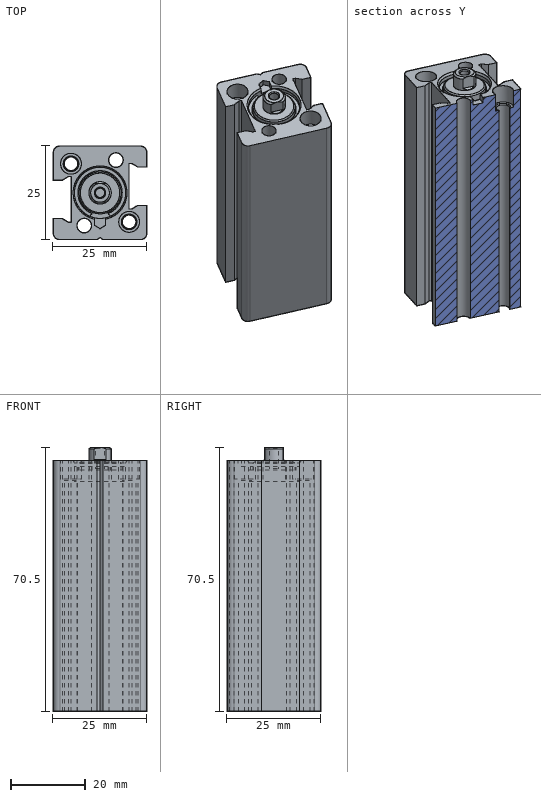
import cadquery as cq

total_height = 70.5
side = 25.0
half_side = side / 2
housing_top = 67.0
corner_radius = 1.75

channel_upper_y = 3.3
channel_lower_y = -6.85
channel_floor_x = 7.75
undercut_start_x = 10.1
undercut_end_x = 8.45
undercut_rise = 1.0

mark_groove_half_width = 0.8
mark_groove_depth = 0.55

mount_offset = 7.75
mount_diameter = 3.6
mount_chamfer_diameter = 4.15
mount_chamfer_depth = 0.3
counterbore_diameter = 5.6
counterbore_depth = 5.0
through_diameter = 3.8
through_x = 4.2
through_y = 8.75

seat_diameter = 13.7
seat_chamfer_width = 0.35
seat_chamfer_height = 0.6
cover_bottom = 61.3
land_top = 65.35
slot_width = 2.9
slot_shoulder_y = -8.7
slot_tip_y = -9.6

boss_top = 66.55
boss_diameter = 11.2
boss_chamfer = 0.35
land_inner_diameter = 11.85
groove_bottom = 64.4
notch_inner_half_width = 2.05
notch_inner_y = -5.5
notch_outer_half_width = 3.45
notch_outer_y = -6.9

rod_diameter = 6.0
rod_chamfer = 0.5
flat_distance = 2.5
flat_bottom = 67.2
rod_bore_diameter = 2.5
rod_bore_mouth_diameter = 3.0
rod_bore_mouth_depth = 0.3
rod_bore_depth = 5.65


def cylinder(diameter, bottom, top, x=0.0, y=0.0):
    """Vertical cylinder between two heights."""
    return cq.Workplane("XY", origin=(x, y, bottom)).circle(diameter / 2).extrude(top - bottom)


def mouth_cone(hole_diameter, mouth_diameter, top, depth, x=0.0, y=0.0):
    """Cone that widens a hole to its mouth diameter at the given height."""
    return (
        cq.Workplane("XY", origin=(x, y, top))
        .circle(mouth_diameter / 2)
        .workplane(offset=-depth)
        .circle(hole_diameter / 2)
        .loft()
    )


def side_channel():
    """Left channel with its undercut corners, along the full housing height."""
    outline = [
        (-half_side, channel_upper_y),
        (-undercut_start_x, channel_upper_y),
        (-undercut_end_x, channel_upper_y + undercut_rise),
        (-channel_floor_x, channel_upper_y + undercut_rise),
        (-channel_floor_x, channel_lower_y - undercut_rise),
        (-undercut_end_x, channel_lower_y - undercut_rise),
        (-undercut_start_x, channel_lower_y),
        (-half_side, channel_lower_y),
    ]
    return cq.Workplane("XY").polyline(outline).close().extrude(housing_top)


def mark_groove():
    """Small V groove along the middle of the -Y side."""
    outline = [
        (-mark_groove_half_width, -half_side),
        (0, -half_side + mark_groove_depth),
        (mark_groove_half_width, -half_side),
    ]
    return cq.Workplane("XY").polyline(outline).close().extrude(housing_top)


def mounting_hole(x, y):
    """Counterbored through hole with a chamfer at the counterbore floor."""
    counterbore_floor = housing_top - counterbore_depth
    hole = cylinder(mount_diameter, 0, housing_top, x, y)
    chamfer = mouth_cone(mount_diameter, mount_chamfer_diameter, counterbore_floor, mount_chamfer_depth, x, y)
    counterbore = cylinder(counterbore_diameter, counterbore_floor, housing_top, x, y)
    return hole.union(chamfer).union(counterbore)


def cover_seat():
    """Blind bore for the cover, chamfered at its mouth."""
    mouth_diameter = seat_diameter + 2 * seat_chamfer_width
    bore = cylinder(seat_diameter, cover_bottom, housing_top)
    return bore.union(mouth_cone(seat_diameter, mouth_diameter, housing_top, seat_chamfer_height))


def seat_slot():
    """Pointed slot that opens into the cover seat, as deep as the cover's land."""
    half_width = slot_width / 2
    outline = [
        (-half_width, 0),
        (-half_width, slot_shoulder_y),
        (0, slot_tip_y),
        (half_width, slot_shoulder_y),
        (half_width, 0),
    ]
    slot_depth = housing_top - land_top
    return cq.Workplane("XY", origin=(0, 0, land_top)).polyline(outline).close().extrude(slot_depth)


def make_housing():
    body = cq.Workplane("XY").rect(side, side).extrude(housing_top).edges("|Z").fillet(corner_radius)
    channel = side_channel()
    body = body.cut(channel).cut(channel.rotate((0, 0, 0), (0, 0, 1), 180))
    body = body.cut(mark_groove())
    for sign in (-1, 1):
        body = body.cut(mounting_hole(sign * mount_offset, -sign * mount_offset))
        body = body.cut(cylinder(through_diameter, 0, housing_top, sign * through_x, sign * through_y))
    return body.cut(cover_seat().union(seat_slot()))


def land_notch():
    """Gap in the land beside the slot, widening outward."""
    outline = [
        (-notch_inner_half_width, notch_inner_y),
        (-notch_outer_half_width, notch_outer_y),
        (notch_outer_half_width, notch_outer_y),
        (notch_inner_half_width, notch_inner_y),
    ]
    height = land_top - groove_bottom
    notch = cq.Workplane("XY", origin=(0, 0, groove_bottom)).polyline(outline).close().extrude(height)
    return notch.cut(cylinder(boss_diameter, groove_bottom, land_top))


def make_cover():
    """Rod cover: an outer land and a raised boss, with a ring groove between them."""
    land = cylinder(seat_diameter, cover_bottom, land_top)
    land = land.cut(cylinder(land_inner_diameter, groove_bottom, land_top)).cut(land_notch())
    boss = cylinder(boss_diameter, cover_bottom, boss_top).faces(">Z").edges().chamfer(boss_chamfer)
    return land.union(boss).cut(cylinder(rod_diameter, cover_bottom, boss_top))


def rod_flat():
    """Cut for the -Y wrench flat, running out at 45 degrees at its lower end."""
    rod_radius = rod_diameter / 2
    runout = rod_radius - flat_distance
    outline = [
        (-flat_distance, total_height),
        (-flat_distance, flat_bottom),
        (-rod_radius, flat_bottom - runout),
        (-rod_radius, total_height),
    ]
    return cq.Workplane("YZ").polyline(outline).close().extrude(rod_radius, both=True)


def make_rod():
    rod = cylinder(rod_diameter, cover_bottom, total_height).faces(">Z").edges().chamfer(rod_chamfer)
    flat = rod_flat()
    rod = rod.cut(flat).cut(flat.rotate((0, 0, 0), (0, 0, 1), 180))
    rod = rod.cut(cylinder(rod_bore_diameter, total_height - rod_bore_depth, total_height))
    mouth = mouth_cone(rod_bore_diameter, rod_bore_mouth_diameter, total_height, rod_bore_mouth_depth)
    return rod.cut(mouth)


housing = make_housing()
cover = make_cover()
rod = make_rod()

result = cq.Compound.makeCompound([housing.val(), cover.val(), rod.val()])